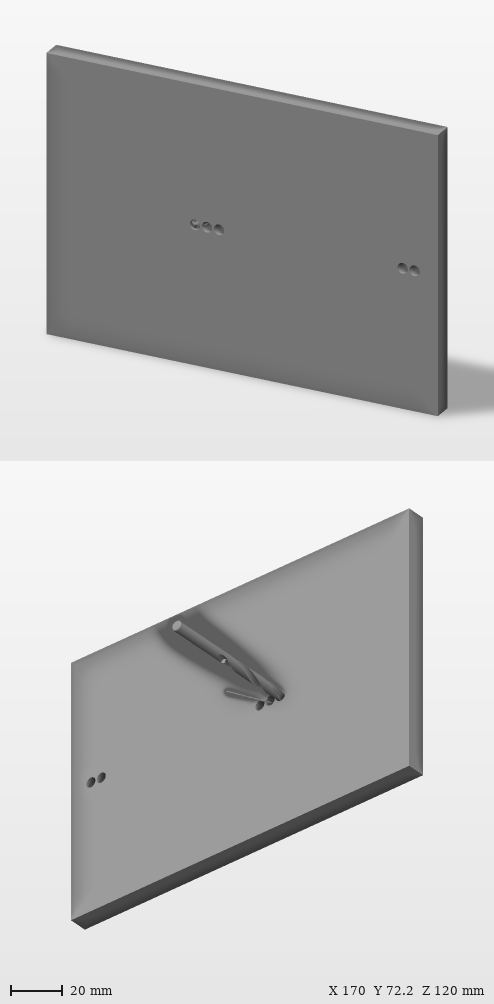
import cadquery as cq
import math

panel_width = 170.0
panel_height = 120.0
skin_thickness = 2.0
core_thickness = 4.5

hole_diameter = 4.5
hole_pitch = 5.2
first_hole_x = 64.6
last_hole_x = 159.95
hole_xs = [
    first_hole_x,
    first_hole_x + hole_pitch,
    first_hole_x + 2 * hole_pitch,
    last_hole_x - hole_pitch,
    last_hole_x,
]
hole_z = panel_height / 2

flute_radius_ratio = 0.31
web_ratio = 0.2
flute_lead_ratio = 8.4
runout_length_ratio = 1.8
shank_chamfer_ratio = 0.08
runout_lift = 0.2
runout_sweep = 0.45
point_angle = math.radians(118)

large_drill_diameter = hole_diameter
large_drill_length = 72.24
large_flute_length = 42.5

small_drill_diameter = 0.65
small_drill_end_x = 78.85
small_drill_end_y = 24.0
small_drill_tip_y = 1.6
small_drill_lean = math.radians(26)
small_drill_length = (small_drill_end_y - small_drill_tip_y) / math.cos(small_drill_lean)
small_shank_length = 6.8
small_flute_length = small_drill_length - small_shank_length


def make_panel(front_y, thickness):
    panel = cq.Workplane("XY", origin=(0, front_y, 0)).box(
        panel_width, thickness, panel_height, centered=False
    )
    holes = (
        cq.Workplane("XZ", origin=(0, front_y, 0))
        .pushPoints([(x, hole_z) for x in hole_xs])
        .circle(hole_diameter / 2)
        .extrude(-thickness)
    )
    return panel.cut(holes)


def make_flute(diameter, flute_length, end_angle):
    """Helical cutter from the tip at Z = 0, and the straight runout that lifts it out of the drill."""
    radius = flute_radius_ratio * diameter
    orbit = web_ratio * diameter / 2 + radius
    lead = flute_lead_ratio * diameter
    twist = 2 * math.pi * flute_length / lead
    start_angle = end_angle - twist
    helix = (
        cq.Workplane("XY")
        .pushPoints([(orbit * math.cos(start_angle), orbit * math.sin(start_angle))])
        .circle(radius)
        .twistExtrude(flute_length, math.degrees(twist))
    )
    outward = cq.Vector(math.cos(end_angle), math.sin(end_angle), 0)
    sideways = cq.Vector(-math.sin(end_angle), math.cos(end_angle), 0)
    runout = cq.Solid.makeCylinder(
        radius,
        runout_length_ratio * diameter,
        outward * orbit + cq.Vector(0, 0, flute_length),
        outward * runout_lift + sideways * runout_sweep + cq.Vector(0, 0, 1),
    )
    return helix, cq.Workplane(runout)


def make_drill(diameter, length, flute_length):
    """Two-fluted twist drill with its tip at the origin and its axis along +Y."""
    radius = diameter / 2
    point_length = radius / math.tan(point_angle / 2)
    chamfer = shank_chamfer_ratio * diameter
    drill = (
        cq.Workplane("XZ")
        .polyline(
            [
                (0, 0),
                (radius, point_length),
                (radius, length - chamfer),
                (radius - chamfer, length),
                (0, length),
            ]
        )
        .close()
        .revolve(360, (0, 0, 0), (0, 1, 0))
    )
    for end_angle in (math.pi / 2, -math.pi / 2):
        for cutter in make_flute(diameter, flute_length, end_angle):
            drill = drill.cut(cutter)
    return drill.rotate((0, 0, 0), (1, 0, 0), -90)


front_skin = make_panel(0, skin_thickness)
core = make_panel(skin_thickness, core_thickness)
back_skin = make_panel(skin_thickness + core_thickness, skin_thickness)

large_drill = make_drill(large_drill_diameter, large_drill_length, large_flute_length)
large_drill = large_drill.translate((first_hole_x, 0, hole_z))

small_drill_tip_x = small_drill_end_x - small_drill_length * math.sin(small_drill_lean)
small_drill = make_drill(small_drill_diameter, small_drill_length, small_flute_length)
small_drill = small_drill.rotate((0, 0, 0), (0, 0, 1), -math.degrees(small_drill_lean))
small_drill = small_drill.translate((small_drill_tip_x, small_drill_tip_y, hole_z))

bodies = [front_skin, core, back_skin, large_drill, small_drill]
result = cq.Compound.makeCompound([body.solids().val() for body in bodies])